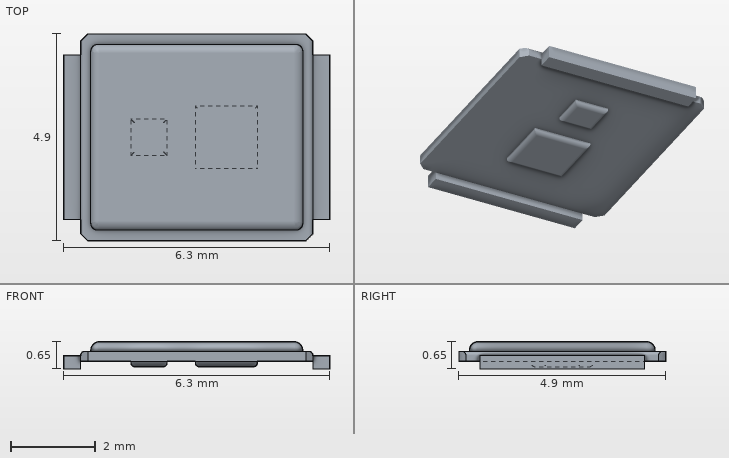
import cadquery as cq

overall_length = 6.3
overall_width = 4.9
overall_height = 0.65

plate_length = 5.5
plate_bottom = 0.18
plate_top = 0.42
plate_corner_chamfer = 0.17
plate_edge_radius = 0.1

lid_end_margin = 0.24
lid_side_margin = 0.25
lid_length = plate_length - 2 * lid_end_margin
lid_width = overall_width - 2 * lid_side_margin
lid_corner_radius = 0.17
lid_edge_radius = 0.21

lead_length = (overall_length - plate_length) / 2
lead_width = 3.9
lead_height = plate_top - plate_edge_radius

pads = [(-1.13, 0.86), (0.70, 1.47)]
pad_bottom = 0.05
pad_edge_radius = 0.1


def make_block(length, width, bottom, top):
    """Box centred in X and Y between two heights."""
    return (
        cq.Workplane("XY")
        .workplane(offset=bottom)
        .rect(length, width)
        .extrude(top - bottom)
    )


def make_plate():
    """Plate with cut corners and rounded top edges along its X ends."""
    plate = make_block(plate_length, overall_width, plate_bottom, plate_top)
    plate = plate.edges(">Z and |Y").fillet(plate_edge_radius)
    half_length = plate_length / 2
    half_width = overall_width / 2
    for x_side in (-1, 1):
        for y_side in (-1, 1):
            x_edge = x_side * half_length
            y_edge = y_side * half_width
            corner = (
                cq.Workplane("XY")
                .workplane(offset=plate_bottom)
                .moveTo(x_edge, y_edge)
                .lineTo(x_edge - x_side * plate_corner_chamfer, y_edge)
                .lineTo(x_edge, y_edge - y_side * plate_corner_chamfer)
                .close()
                .extrude(plate_top - plate_bottom)
            )
            plate = plate.cut(corner)
    return plate


def make_lid():
    """Lid with rounded corners and a rounded top rim."""
    lid = make_block(lid_length, lid_width, plate_top, overall_height)
    return lid.edges("|Z").fillet(lid_corner_radius).faces(">Z").edges().fillet(lid_edge_radius)


def make_lead(x_side):
    """Rectangular lead butted against one X end of the plate."""
    x_centre = x_side * (plate_length + lead_length) / 2
    return make_block(lead_length, lead_width, 0, lead_height).translate((x_centre, 0, 0))


def make_pad(x_centre, side):
    """Square pad with its bottom rim rounded."""
    pad = make_block(side, side, pad_bottom, plate_bottom)
    return pad.faces("<Z").edges().fillet(pad_edge_radius).translate((x_centre, 0, 0))


result = make_plate().union(make_lid())
for x_side in (-1, 1):
    result = result.union(make_lead(x_side))
for x_centre, side in pads:
    result = result.union(make_pad(x_centre, side))